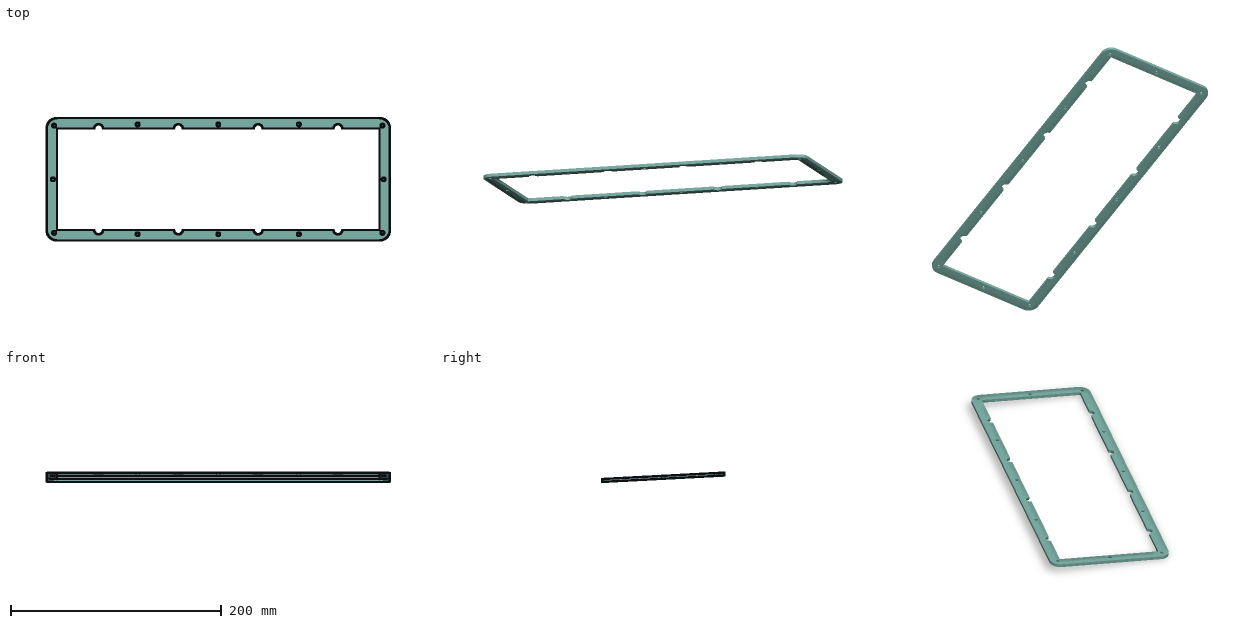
import cadquery as cq

LENGTH = 325.85
WIDTH = 116.3
THICKNESS = 3.0
CORNER_RADIUS = 10.0
END_BORDER = 10.0
RAIL_BORDER = 10.0
TILT = 3.0

HOLE_DIAMETER = 3.3
EDGE_HOLE_INSET = 6.0
EDGE_HOLE_PITCH = 76.45
CORNER_HOLE_INSET = 7.2

NOTCH_RADIUS = 4.1
NOTCH_MOUTH_FILLET = 0.6
NOTCH_PITCH = 75.68
NOTCH_COUNT = 4

WINDOW_LENGTH = LENGTH - 2 * END_BORDER
WINDOW_WIDTH = WIDTH - 2 * RAIL_BORDER
TOLERANCE = 0.01


def outer_plate():
    """Solid plate with rounded corners, centred on the origin."""
    plate = cq.Workplane("XY").box(LENGTH, WIDTH, THICKNESS)
    return plate.edges("|Z").fillet(CORNER_RADIUS)


def is_notch_mouth(edge):
    """True for an upright edge where a notch meets a long side of the window."""
    centre = edge.Center()
    on_long_side = abs(abs(centre.y) - WINDOW_WIDTH / 2) < TOLERANCE
    off_corner = abs(centre.x) < WINDOW_LENGTH / 2 - TOLERANCE
    return on_long_side and off_corner


def notched_window():
    """Rectangular window with half-round notches on both long sides, mouths rounded."""
    window = cq.Workplane("XY").box(WINDOW_LENGTH, WINDOW_WIDTH, THICKNESS)
    notches = (
        cq.Workplane("XY")
        .rarray(NOTCH_PITCH, WINDOW_WIDTH, NOTCH_COUNT, 2)
        .cylinder(THICKNESS, NOTCH_RADIUS)
    )
    opening = window.union(notches)
    return opening.edges("|Z").filter(is_notch_mouth).fillet(NOTCH_MOUTH_FILLET)


def screw_hole_centres():
    """Four corner holes, one mid each short end and three along each rail."""
    corner_x = LENGTH / 2 - CORNER_HOLE_INSET
    corner_y = WIDTH / 2 - CORNER_HOLE_INSET
    end_x = LENGTH / 2 - EDGE_HOLE_INSET
    rail_y = WIDTH / 2 - EDGE_HOLE_INSET
    centres = []
    for side in (-1, 1):
        centres.append((side * end_x, 0))
        for step in (-1, 0, 1):
            centres.append((step * EDGE_HOLE_PITCH, side * rail_y))
        for end in (-1, 1):
            centres.append((end * corner_x, side * corner_y))
    return centres


def screw_holes():
    """Straight cylinders through the full plate thickness."""
    holes = cq.Workplane("XY").pushPoints(screw_hole_centres())
    return holes.cylinder(THICKNESS, HOLE_DIAMETER / 2)


flat_frame = outer_plate().cut(notched_window()).cut(screw_holes())
result = flat_frame.rotate((0, 0, 0), (1, 0, 0), TILT)